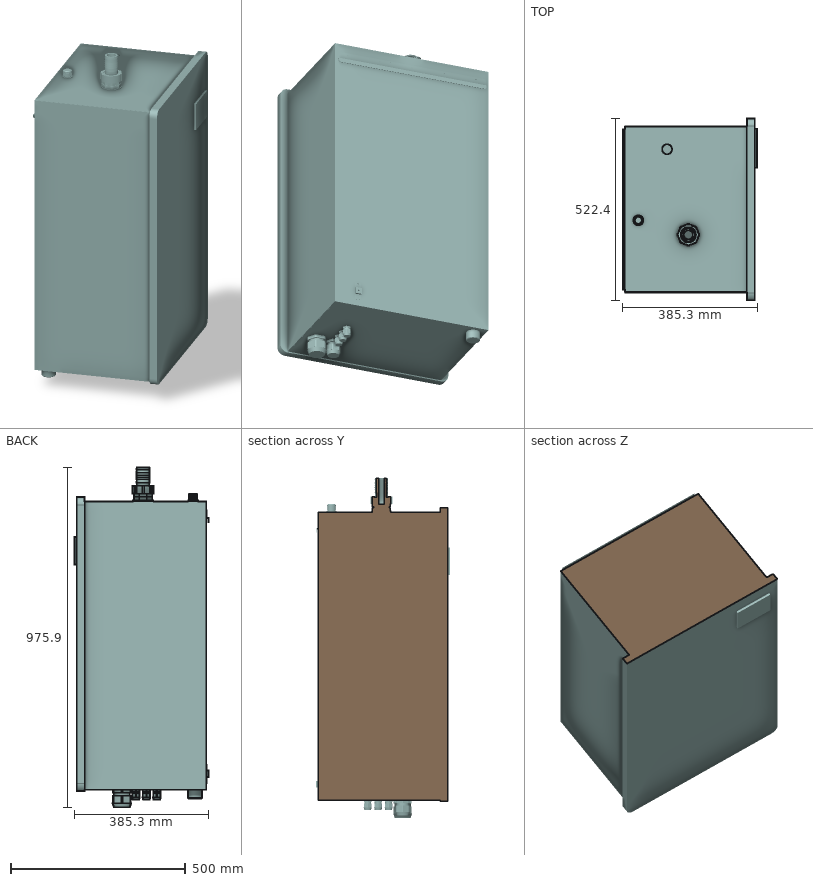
import cadquery as cq
import math

CABINET_DEPTH = 350.0
CABINET_WIDTH = 478.0
CABINET_HEIGHT = 828.0
SIDE_SKIN = 2.0
SIDE_SKIN_STEP = 0.3

DOOR_THICKNESS = 23.0
DOOR_WIDTH = 522.4
DOOR_ABOVE = 12.5
DOOR_BELOW = 3.5
DOOR_RADIUS = 22.0

PANEL_THICKNESS = 6.3
PANEL_WIDTH = 113.0
PANEL_HEIGHT = 80.0
PANEL_Y = 175.5
PANEL_Z = 686.0

SHEET = 1.5
TAB_THICKNESS = 0.5
STANDOFF = 6.0
RAIL_LENGTH = 461.0
RAIL_TOP = 802.5
RAIL_STEP = 780.5
RAIL_BOTTOM = 768.0
RAIL_TOP_RADIUS = 6.0
RAIL_BOTTOM_RADIUS = 8.0
RAIL_HOLE = 4.0
RAIL_HOLE_Z = 795.0
RAIL_HOLE_PITCH = 100.0
RAIL_HOLE_COUNT = 5

SPACER_Y = 167.5
SPACER_Z = 46.0
SPACER_WIDTH = 19.0
SPACER_LENGTH = 53.0
SPACER_BLOCK = 19.0
SPACER_HOLE = 5.0
SPACER_HOLE_PITCH = 21.5

HOSE_X = 182.0
HOSE_Y = -73.0
HOSE_HEIGHT = 97.6
HOSE_CORE = 36.6
HOSE_BARB = 38.6
HOSE_BORE = 26.0
BARB_HEIGHTS = (53.3, 62.7, 69.0, 75.2, 81.5, 91.0)
HOSE_FLANGE = 59.0
HOSE_FLANGE_HEIGHT = 3.0
OCTAGON_FLATS = 53.0
OCTAGON_GROOVE_Z = 12.5
OCTAGON_GROOVE = 1.0
NUT_BOTTOM = 22.0
NUT_TOP = 44.0
NUT_DIAMETER = 59.0
NUT_RECESS = 44.0
NUT_RECESS_DEPTH = 2.0
NUT_RIB_DIAMETER = 62.6
NUT_RIB_WIDTH = 6.0
NUT_RIBS = 8

PLUG_X = 38.5
PLUG_Y = -31.5
PLUG_HEIGHT = 22.0
PLUG_CREST = 25.4
PLUG_ROOT = 23.6
PLUG_PITCH = 2.8
PLUG_RIM = 20.0
PLUG_FLANGE = 28.5
PLUG_FLANGE_HEIGHT = 3.0

RECESS_X = 121.0
RECESS_Y = 172.5
RECESS_DIAMETER = 28.5
RECESS_DEPTH = 2.5

DRAIN_X = 33.0
DRAIN_Y = -204.5
DRAIN_DIAMETER = 41.0
DRAIN_LENGTH = 25.0
DRAIN_CHAMFER = 2.0

GLAND_ROW_Y = 142.0
SMALL_GLAND_X = 142.6
SMALL_GLAND_PITCH = 30.0
SMALL_GLAND_COUNT = 3
SMALL_GLAND_CORNERS = 25.0
SMALL_GLAND_LENGTH = 28.0
BIG_GLAND_X = 243.0
MEDIUM_GLAND_CORNERS = 44.0
MEDIUM_GLAND_LENGTH = 43.5
LARGE_GLAND_Y = 193.0
LARGE_GLAND_CORNERS = 60.0
LARGE_GLAND_LENGTH = 50.3
GLAND_FLANGE_BOTTOM = 0.18
GLAND_NUT_TOP = 0.34
GLAND_NUT_BOTTOM = 0.76
GLAND_BEVEL = 0.96
GLAND_NECK = 0.78
GLAND_CAP = 0.90
GLAND_TIP = 0.76


def block(x_range, y_range, z_range):
    """Box spanning the given ranges."""
    sizes = [high - low for low, high in (x_range, y_range, z_range)]
    corner = cq.Vector(x_range[0], y_range[0], z_range[0])
    return cq.Workplane(cq.Solid.makeBox(*sizes, pnt=corner))


def around(centre, size):
    """Range of the given size about a centre."""
    return (centre - size / 2, centre + size / 2)


def disc(diameter, bottom, top):
    """Upright cylinder on the Z axis."""
    return cq.Workplane(obj=cq.Solid.makeCylinder(diameter / 2, top - bottom, cq.Vector(0, 0, bottom)))


def cone(bottom_diameter, top_diameter, bottom, top):
    """Upright truncated cone on the Z axis."""
    height = top - bottom
    base = cq.Vector(0, 0, bottom)
    return cq.Workplane(obj=cq.Solid.makeCone(bottom_diameter / 2, top_diameter / 2, height, base))


def prism(sides, corners, bottom, top, turn):
    """Upright regular prism, sized across its corners and turned about Z."""
    shape = cq.Workplane("XY").workplane(offset=bottom).polygon(sides, corners).extrude(top - bottom)
    return shape.rotate((0, 0, 0), (0, 0, 1), turn)


def make_cabinet():
    core_width = CABINET_WIDTH - 2 * SIDE_SKIN
    cabinet = block((0, CABINET_DEPTH), around(0, core_width), (0, CABINET_HEIGHT))
    skins = block(
        (SIDE_SKIN_STEP, CABINET_DEPTH),
        around(0, CABINET_WIDTH),
        (SIDE_SKIN_STEP, CABINET_HEIGHT - SIDE_SKIN_STEP),
    )
    return cabinet.union(skins)


def make_door():
    door = block(
        (CABINET_DEPTH, CABINET_DEPTH + DOOR_THICKNESS),
        around(0, DOOR_WIDTH),
        (-DOOR_BELOW, CABINET_HEIGHT + DOOR_ABOVE),
    ).edges("|X").fillet(DOOR_RADIUS)
    door_face = CABINET_DEPTH + DOOR_THICKNESS
    panel = block(
        (door_face, door_face + PANEL_THICKNESS),
        around(PANEL_Y, PANEL_WIDTH),
        around(PANEL_Z, PANEL_HEIGHT),
    )
    return door.union(panel)


def make_rail():
    """Plate on the back, web stepping out at its foot and hook hanging from the web."""
    length = around(0, RAIL_LENGTH)
    plate = block((-TAB_THICKNESS, 0), length, (RAIL_STEP - SHEET, RAIL_TOP))
    plate = plate.edges("|X and >Z").fillet(RAIL_TOP_RADIUS)
    web = block((SHEET - STANDOFF, 0), length, (RAIL_STEP - SHEET, RAIL_STEP))
    hook = block((-STANDOFF, SHEET - STANDOFF), length, (RAIL_BOTTOM, RAIL_STEP))
    hook = hook.edges("|X and <Z").fillet(RAIL_BOTTOM_RADIUS)
    rail = plate.union(web).union(hook)
    for index in range(RAIL_HOLE_COUNT):
        y = (index - (RAIL_HOLE_COUNT - 1) / 2) * RAIL_HOLE_PITCH
        rail = rail.cut(back_hole(RAIL_HOLE, y, RAIL_HOLE_Z))
    return rail


def back_hole(diameter, y, z):
    """Cutter for a hole through whatever stands on the back face."""
    start = cq.Vector(-STANDOFF, y, z)
    return cq.Workplane(obj=cq.Solid.makeCylinder(diameter / 2, STANDOFF, start, cq.Vector(1, 0, 0)))


def make_spacer():
    """Raised block between two thin tabs, each with a hole."""
    width = around(SPACER_Y, SPACER_WIDTH)
    spacer = block((-TAB_THICKNESS, 0), width, around(SPACER_Z, SPACER_LENGTH))
    spacer = spacer.union(block((-STANDOFF, 0), width, around(SPACER_Z, SPACER_BLOCK)))
    for step in (-1, 0, 1):
        z = SPACER_Z + step * SPACER_HOLE_PITCH
        spacer = spacer.cut(back_hole(SPACER_HOLE, SPACER_Y, z))
    return spacer


def make_hose_connector():
    """Octagonal base, ribbed union nut and barbed hose tail, bored from the top."""
    half_facet = 180 / 8
    corners = OCTAGON_FLATS / math.cos(math.radians(half_facet))
    upper_bottom = OCTAGON_GROOVE_Z + OCTAGON_GROOVE
    connector = disc(HOSE_FLANGE, 0, HOSE_FLANGE_HEIGHT)
    connector = connector.union(prism(8, corners, 0, OCTAGON_GROOVE_Z, half_facet))
    connector = connector.union(prism(8, corners, upper_bottom, NUT_BOTTOM, half_facet))
    connector = connector.union(disc(OCTAGON_FLATS - 2 * OCTAGON_GROOVE, 0, NUT_BOTTOM))
    connector = connector.union(disc(NUT_DIAMETER, NUT_BOTTOM, NUT_TOP))
    rib = block((0, NUT_RIB_DIAMETER / 2), around(0, NUT_RIB_WIDTH), (NUT_BOTTOM, NUT_TOP))
    for index in range(NUT_RIBS):
        connector = connector.union(rib.rotate((0, 0, 0), (0, 0, 1), index * 360 / NUT_RIBS))
    connector = connector.cut(disc(NUT_RECESS, NUT_TOP - NUT_RECESS_DEPTH, NUT_TOP))
    connector = connector.union(disc(HOSE_CORE, NUT_BOTTOM, HOSE_HEIGHT))
    barb_ends = BARB_HEIGHTS[1:] + (HOSE_HEIGHT,)
    for bottom, top in zip(BARB_HEIGHTS, barb_ends):
        connector = connector.union(cone(HOSE_BARB, HOSE_CORE, bottom, top))
    connector = connector.cut(disc(HOSE_BORE, NUT_BOTTOM, HOSE_HEIGHT))
    return connector.translate((HOSE_X, HOSE_Y, CABINET_HEIGHT))


def make_plug():
    """Plug whose thread is simplified to plain rings."""
    rim_height = (PLUG_ROOT - PLUG_RIM) / 2
    thread_top = PLUG_HEIGHT - rim_height
    plug = disc(PLUG_FLANGE, 0, PLUG_FLANGE_HEIGHT)
    plug = plug.union(disc(PLUG_ROOT, 0, thread_top))
    plug = plug.union(cone(PLUG_ROOT, PLUG_RIM, thread_top, PLUG_HEIGHT))
    ring_count = int((thread_top - PLUG_FLANGE_HEIGHT) / PLUG_PITCH)
    for index in range(ring_count):
        bottom = thread_top - (index + 0.5) * PLUG_PITCH
        plug = plug.union(disc(PLUG_CREST, bottom, bottom + PLUG_PITCH / 2))
    return plug.translate((PLUG_X, PLUG_Y, CABINET_HEIGHT))


def make_recess():
    recess = disc(RECESS_DIAMETER, CABINET_HEIGHT - RECESS_DEPTH, CABINET_HEIGHT)
    return recess.translate((RECESS_X, RECESS_Y, 0))


def make_drain():
    drain = disc(DRAIN_DIAMETER, -DRAIN_LENGTH, 0).faces("<Z").chamfer(DRAIN_CHAMFER)
    return drain.translate((DRAIN_X, DRAIN_Y, 0))


def make_gland(x, y, corners, length):
    """Cable gland hanging below the cabinet: hex flange, neck, hex cap nut, tapered end."""
    flange_bottom = -GLAND_FLANGE_BOTTOM * length
    nut_top = -GLAND_NUT_TOP * length
    nut_bottom = -GLAND_NUT_BOTTOM * length
    corners_on_y = 30
    flange = prism(6, corners, flange_bottom, 0, corners_on_y)
    nut = prism(6, corners, nut_bottom, nut_top, corners_on_y)
    gland = flange.union(nut).intersect(disc(GLAND_BEVEL * corners, -length, 0))
    gland = gland.union(disc(GLAND_NECK * corners, nut_top, flange_bottom))
    gland = gland.union(cone(GLAND_TIP * corners, GLAND_CAP * corners, -length, nut_bottom))
    return gland.translate((x, y, 0))


result = make_cabinet().union(make_door()).union(make_rail()).union(make_spacer())
result = result.union(make_hose_connector()).union(make_plug()).cut(make_recess())
result = result.union(make_drain())
for index in range(SMALL_GLAND_COUNT):
    gland_x = SMALL_GLAND_X + index * SMALL_GLAND_PITCH
    result = result.union(make_gland(gland_x, GLAND_ROW_Y, SMALL_GLAND_CORNERS, SMALL_GLAND_LENGTH))
result = result.union(make_gland(BIG_GLAND_X, GLAND_ROW_Y, MEDIUM_GLAND_CORNERS, MEDIUM_GLAND_LENGTH))
result = result.union(make_gland(BIG_GLAND_X, LARGE_GLAND_Y, LARGE_GLAND_CORNERS, LARGE_GLAND_LENGTH))